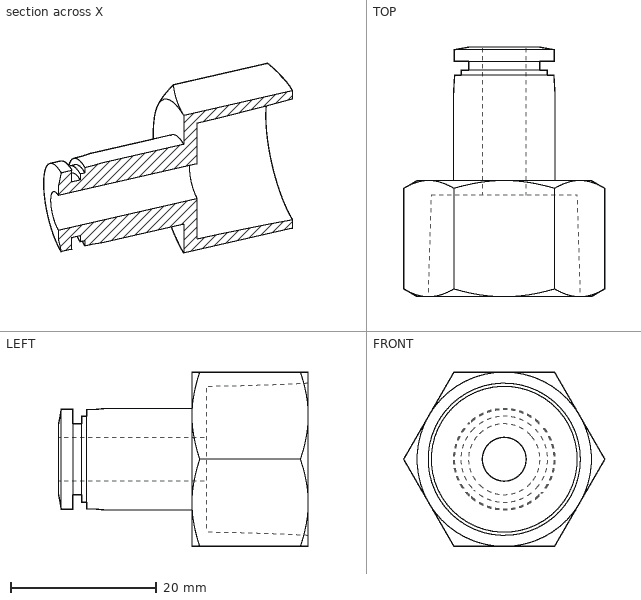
import cadquery as cq
import math

HEX_SIDES = 6
ACROSS_FLATS = 24.0
ACROSS_CORNERS = ACROSS_FLATS / math.cos(math.pi / HEX_SIDES)
HEX_LENGTH = 16.0
CHAMFER_ANGLE = 30.0

BODY_RADIUS = 7.0
BODY_LENGTH = 12.0
TAPER_END_RADIUS = 6.85
TAPER_LENGTH = 2.5
COLLAR_RADIUS = 5.95
COLLAR_LENGTH = 0.7
NECK_RADIUS = 4.9
NECK_LENGTH = 1.2
BUTTON_RADIUS = 6.9
BUTTON_LENGTH = 2.0
BUTTON_RIM_RADIUS = 4.7
BUTTON_BEVEL_LENGTH = 0.4

BODY_END = HEX_LENGTH + BODY_LENGTH
TAPER_END = BODY_END + TAPER_LENGTH
COLLAR_END = TAPER_END + COLLAR_LENGTH
NECK_END = COLLAR_END + NECK_LENGTH
BUTTON_END = NECK_END + BUTTON_LENGTH

SOCKET_MOUTH_DIAMETER = 20.955
SOCKET_TAPER = 1 / 16
SOCKET_DEPTH = 14.0
BORE_RADIUS = 3.0


def revolve_about_y(points):
    """Solid of revolution from (radius, y) points closed through the Y axis."""
    return cq.Workplane("XY").polyline(points).close().revolve(360, (0, 0, 0), (0, 1, 0))


def make_nut():
    """Hexagon with corners on the X axis, both ends chamfered by cones."""
    prism = cq.Workplane("XZ").polygon(HEX_SIDES, ACROSS_CORNERS).extrude(-HEX_LENGTH)
    flat_radius = ACROSS_FLATS / 2
    corner_radius = ACROSS_CORNERS / 2
    chamfer_length = (corner_radius - flat_radius) * math.tan(math.radians(CHAMFER_ANGLE))
    envelope = revolve_about_y([
        (0, 0),
        (flat_radius, 0),
        (corner_radius, chamfer_length),
        (corner_radius, HEX_LENGTH - chamfer_length),
        (flat_radius, HEX_LENGTH),
        (0, HEX_LENGTH),
    ])
    return prism.intersect(envelope)


def make_stem():
    """Body, taper, collar, neck and bevelled button, starting inside the nut."""
    start = HEX_LENGTH / 2
    return revolve_about_y([
        (0, start),
        (BODY_RADIUS, start),
        (BODY_RADIUS, BODY_END),
        (TAPER_END_RADIUS, TAPER_END),
        (COLLAR_RADIUS, TAPER_END),
        (COLLAR_RADIUS, COLLAR_END),
        (NECK_RADIUS, COLLAR_END),
        (NECK_RADIUS, NECK_END),
        (BUTTON_RADIUS, NECK_END),
        (BUTTON_RADIUS, BUTTON_END - BUTTON_BEVEL_LENGTH),
        (BUTTON_RIM_RADIUS, BUTTON_END),
        (0, BUTTON_END),
    ])


def make_cavity():
    """Tapered socket open at Y = 0, joined to the bore that runs right through."""
    mouth_radius = SOCKET_MOUTH_DIAMETER / 2
    floor_radius = mouth_radius - SOCKET_DEPTH * SOCKET_TAPER / 2
    return revolve_about_y([
        (0, 0),
        (mouth_radius, 0),
        (floor_radius, SOCKET_DEPTH),
        (BORE_RADIUS, SOCKET_DEPTH),
        (BORE_RADIUS, BUTTON_END),
        (0, BUTTON_END),
    ])


result = make_nut().union(make_stem()).cut(make_cavity())